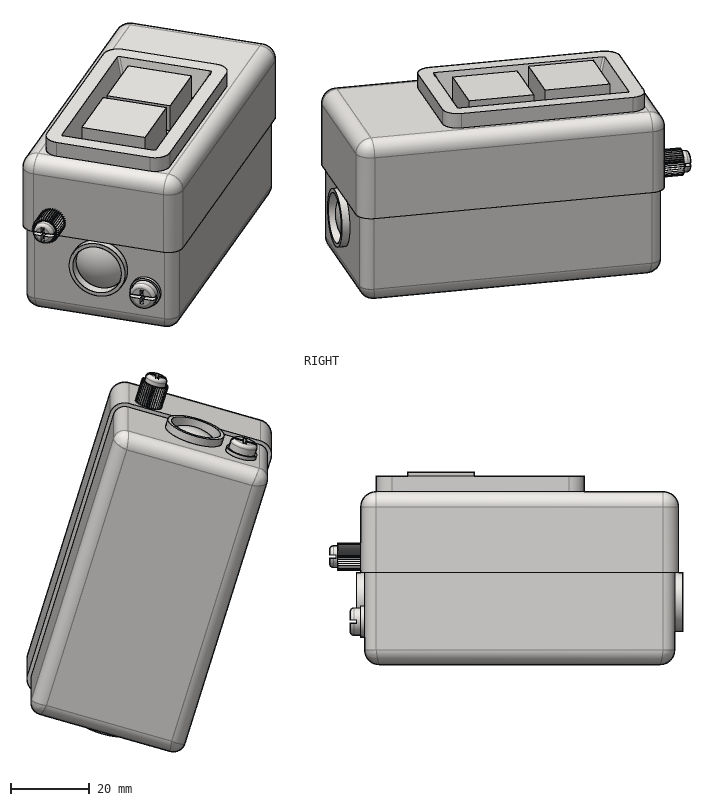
import cadquery as cq
import math

COVER_WIDTH = 42.8
COVER_LENGTH = 80.9
COVER_CORNER = 4.0
STEP = 1.0
BASE_WIDTH = COVER_WIDTH - 2 * STEP
BASE_LENGTH = COVER_LENGTH - 2 * STEP
BASE_CORNER = COVER_CORNER - STEP
BASE_BOTTOM_RADIUS = 3.8

SPLIT_Z = 23.5
COVER_TOP_Z = 44.05
FRAME_TOP_Z = 48.0
OFF_TOP_Z = 49.0
ON_TOP_Z = FRAME_TOP_Z

FRAME_WIDTH = 33.0
FRAME_LENGTH = 52.95
FRAME_CORNER = COVER_CORNER
FRAME_Y = FRAME_LENGTH / 2 - (COVER_LENGTH / 2 - COVER_CORNER)
WELL_WIDTH = 25.3
WELL_LENGTH = 45.0
WELL_CORNER = 0.5
WELL_DEPTH = 7.2
WELL_INSET = 2.3
WELL_FLOOR_Z = FRAME_TOP_Z - WELL_DEPTH
BUTTON_SIZE = 17.0
BUTTON_GAP = 3.0

ENTRY_RADIUS = 15.0 / 2
ENTRY_BORE_RADIUS = 13.0 / 2
ENTRY_END_Y = 41.5
ENTRY_Z = SPLIT_Z - ENTRY_RADIUS
DOME_BASE_DEPTH = 2.7
DOME_HEIGHT = 2.25

HEAD_EDGE_RADIUS = 1.0
SLOT_WIDTH = 0.8
SLOT_DEPTH = 1.6
CROSS_SLOT_LENGTH = 3.8

KNOB_X = -12.3
KNOB_Z = 27.5
KNOB_RADIUS = 3.5
KNOB_ROOT_RADIUS = 2.8
KNOB_TEETH = 36
KNOB_END_Y = -46.3
KNOB_TIP_Y = -48.4
KNOB_HEAD_RADIUS = 2.8

GROUND_X = 12.5
GROUND_Z = 11.0
GROUND_WASHER_RADIUS = 8.0 / 2
GROUND_WASHER_THICKNESS = STEP
GROUND_HEAD_RADIUS = 3.5
GROUND_TIP_Y = -43.15


def front_plane(x, y, z):
    """Sketch plane facing -Y: local x is +X, local y is +Z."""
    return cq.Workplane(cq.Plane(origin=(x, y, z), xDir=(1, 0, 0), normal=(0, -1, 0)))


def front_disc(x, z, radius, start_y, end_y):
    """Cylinder along Y, from start_y forward to end_y."""
    return front_plane(x, start_y, z).circle(radius).extrude(start_y - end_y)


def screw_head(x, z, radius, start_y, tip_y):
    """Round-edged screw head with a full-width slot crossed by a short one."""
    head = front_disc(x, z, radius, start_y, tip_y).faces("<Y").edges().fillet(HEAD_EDGE_RADIUS)
    slots = (
        front_plane(x, tip_y, z)
        .rect(2 * radius, SLOT_WIDTH)
        .extrude(-SLOT_DEPTH)
        .union(front_plane(x, tip_y, z).rect(SLOT_WIDTH, CROSS_SLOT_LENGTH).extrude(-SLOT_DEPTH))
    )
    return head.cut(slots)


def knurled_knob(x, z, start_y, end_y):
    """Straight-knurled cylinder with pointed teeth."""
    half_pitch = math.pi / KNOB_TEETH
    points = []
    for tooth in range(KNOB_TEETH):
        tip_angle = 2 * tooth * half_pitch
        root_angle = tip_angle + half_pitch
        points.append((KNOB_RADIUS * math.cos(tip_angle), KNOB_RADIUS * math.sin(tip_angle)))
        points.append((KNOB_ROOT_RADIUS * math.cos(root_angle), KNOB_ROOT_RADIUS * math.sin(root_angle)))
    return front_plane(x, start_y, z).polyline(points).close().extrude(start_y - end_y)


def cable_entry():
    """Collar on the front end of the base."""
    return front_disc(0, ENTRY_Z, ENTRY_RADIUS, -BASE_LENGTH / 2 + STEP, -ENTRY_END_Y)


def cable_entry_recess():
    """Round recess of the front cable entry, whose floor bulges outward as a dome."""
    floor_y = -ENTRY_END_Y + DOME_BASE_DEPTH
    sphere_radius = (ENTRY_BORE_RADIUS**2 + DOME_HEIGHT**2) / (2 * DOME_HEIGHT)
    sphere_y = floor_y - DOME_HEIGHT + sphere_radius
    dome = cq.Workplane("XY").sphere(sphere_radius).translate((0, sphere_y, ENTRY_Z))
    return front_disc(0, ENTRY_Z, ENTRY_BORE_RADIUS, floor_y, -ENTRY_END_Y).cut(dome)


def make_base():
    """Lower half of the enclosure with its two cable entries and the ground screw."""
    front_y = -BASE_LENGTH / 2
    body = (
        cq.Workplane("XY")
        .box(BASE_WIDTH, BASE_LENGTH, SPLIT_Z, centered=(True, True, False))
        .edges("|Z")
        .fillet(BASE_CORNER)
        .faces("<Z")
        .edges()
        .fillet(BASE_BOTTOM_RADIUS)
    )
    collar = cable_entry()
    recess = cable_entry_recess()
    body = body.union(collar).union(collar.mirror("XZ"))
    body = body.cut(recess).cut(recess.mirror("XZ"))
    washer_y = front_y - GROUND_WASHER_THICKNESS
    washer = front_disc(GROUND_X, GROUND_Z, GROUND_WASHER_RADIUS, front_y, washer_y)
    head = screw_head(GROUND_X, GROUND_Z, GROUND_HEAD_RADIUS, washer_y, GROUND_TIP_Y)
    return body.union(washer).union(head)


def button_frame():
    """Raised rounded frame on top of the cover."""
    return (
        cq.Workplane("XY", origin=(0, FRAME_Y, COVER_TOP_Z))
        .rect(FRAME_WIDTH, FRAME_LENGTH)
        .extrude(FRAME_TOP_Z - COVER_TOP_Z)
        .edges("|Z")
        .fillet(FRAME_CORNER)
    )


def button_well():
    """Pocket inside the frame, with sloping walls and rounded corners."""
    return (
        cq.Workplane("XY", origin=(0, FRAME_Y, FRAME_TOP_Z))
        .rect(WELL_WIDTH, WELL_LENGTH)
        .extrude(-WELL_DEPTH, taper=math.degrees(math.atan2(WELL_INSET, WELL_DEPTH)))
        .edges("not #Z")
        .edges("not |X")
        .edges("not |Y")
        .fillet(WELL_CORNER)
    )


def button(center_y, top_z):
    """Square push button standing on the floor of the well."""
    return (
        cq.Workplane("XY", origin=(0, center_y, WELL_FLOOR_Z))
        .rect(BUTTON_SIZE, BUTTON_SIZE)
        .extrude(top_z - WELL_FLOOR_Z)
    )


def make_cover():
    """Upper half of the enclosure with the framed buttons and the knurled screw."""
    body = (
        cq.Workplane("XY", origin=(0, 0, SPLIT_Z))
        .box(COVER_WIDTH, COVER_LENGTH, COVER_TOP_Z - SPLIT_Z, centered=(True, True, False))
        .edges("|Z or >Z")
        .fillet(COVER_CORNER)
    )
    body = body.union(button_frame()).cut(button_well())
    half_pitch = (BUTTON_SIZE + BUTTON_GAP) / 2
    body = body.union(button(FRAME_Y + half_pitch, ON_TOP_Z))
    body = body.union(button(FRAME_Y - half_pitch, OFF_TOP_Z))
    knob = knurled_knob(KNOB_X, KNOB_Z, -COVER_LENGTH / 2, KNOB_END_Y)
    head = screw_head(KNOB_X, KNOB_Z, KNOB_HEAD_RADIUS, KNOB_END_Y, KNOB_TIP_Y)
    return body.union(knob).union(head)


base = make_base()
cover = make_cover()

result = cq.Compound.makeCompound([base.solids().val(), cover.solids().val()])